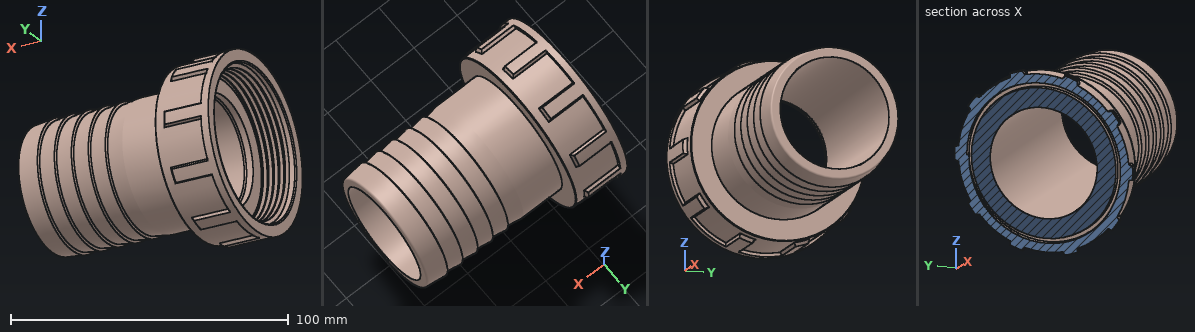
import cadquery as cq
import math

TOTAL_LENGTH = 84.5

NUT_LENGTH = 22.7
RIM_RADIUS = 34.7
RIM_WIDTH = 3.1
NUT_RADIUS = 33.4
NUT_EDGE_CHAMFER = 0.25
MOUTH_CHAMFER = 0.5
FLANGE_SEAT_X = 18.6

THREAD_PITCH = 2.3
THREAD_MAJOR_RADIUS = 29.8
THREAD_MINOR_RADIUS = 28.3
THREAD_HALF_ANGLE = math.radians(27.5)
THREAD_CREST_WIDTH = 0.3
THREAD_START_X = 2.5
THREAD_TURNS = 6
THREAD_ROOT_DEPTH = 0.2

RIB_COUNT = 10
RIB_TOP_WIDTH = 5.1
RIB_BASE_WIDTH = 6.0
RIB_TOP_END_X = 18.0
RIB_BASE_END_X = 18.9
RIB_ROOT_DEPTH = 0.85

GASKET_FACE_X = 12.9
GASKET_THICKNESS = 2.7
GASKET_RADIUS = 27.5
GASKET_BORE_RADIUS = 21.3

TUBE_RADIUS = 25.4
BORE_RADIUS = 20.7
BORE_CHAMFER = GASKET_BORE_RADIUS - BORE_RADIUS
FLANGE_X = GASKET_FACE_X + GASKET_THICKNESS
FLANGE_CLEARANCE = 0.1
FLANGE_RADIUS = THREAD_MINOR_RADIUS - FLANGE_CLEARANCE
BARB_START_X = 40.7
BARB_PITCH = 7.0
BARB_COUNT = 5
BARB_VALLEY_RADIUS = 24.4
BARB_STEP_LENGTH = 0.4
TIP_RADIUS = 24.4
TIP_FILLET = 0.85


def revolve_about_x(points):
    """Turn a closed (x, radius) outline about the X axis."""
    return cq.Workplane("XY").polyline(points).close().revolve(360, (0, 0, 0), (1, 0, 0))


def make_nut_blank():
    """Nut wall with its rim, chamfered mouth, bore and rear wall, before ribs and thread."""
    return revolve_about_x([
        (0, THREAD_MAJOR_RADIUS + MOUTH_CHAMFER),
        (0, RIM_RADIUS),
        (RIM_WIDTH, RIM_RADIUS),
        (RIM_WIDTH, NUT_RADIUS),
        (NUT_LENGTH - NUT_EDGE_CHAMFER, NUT_RADIUS),
        (NUT_LENGTH, NUT_RADIUS - NUT_EDGE_CHAMFER),
        (NUT_LENGTH, TUBE_RADIUS),
        (FLANGE_SEAT_X, TUBE_RADIUS),
        (FLANGE_SEAT_X, THREAD_MAJOR_RADIUS),
        (MOUTH_CHAMFER, THREAD_MAJOR_RADIUS),
    ])


def make_rib():
    """One grip rib on the -Y side, flush with the rim and sloped at its end."""
    root_radius = NUT_RADIUS - RIB_ROOT_DEPTH
    ring = revolve_about_x([
        (RIM_WIDTH, root_radius),
        (RIM_WIDTH, RIM_RADIUS),
        (RIB_TOP_END_X, RIM_RADIUS),
        (RIB_BASE_END_X, NUT_RADIUS),
        (RIB_BASE_END_X, root_radius),
    ])
    side_slope = (RIB_BASE_WIDTH - RIB_TOP_WIDTH) / 2 / (RIM_RADIUS - NUT_RADIUS)
    half_top = RIB_TOP_WIDTH / 2
    half_root = half_top + side_slope * (RIM_RADIUS - root_radius)
    wedge = (
        cq.Workplane("YZ")
        .polyline([
            (-root_radius, -half_root),
            (-RIM_RADIUS, -half_top),
            (-RIM_RADIUS, half_top),
            (-root_radius, half_root),
        ])
        .close()
        .extrude(NUT_LENGTH)
    )
    return ring.intersect(wedge)


def make_thread_ridge():
    """Right-hand helical ridge that starts on the +Y side and runs along +X."""
    root_radius = THREAD_MAJOR_RADIUS + THREAD_ROOT_DEPTH
    half_crest = THREAD_CREST_WIDTH / 2
    half_root = half_crest + (root_radius - THREAD_MINOR_RADIUS) * math.tan(THREAD_HALF_ANGLE)
    helix = cq.Wire.makeHelix(THREAD_PITCH, THREAD_PITCH * THREAD_TURNS, THREAD_MINOR_RADIUS)
    ridge = (
        cq.Workplane("XZ")
        .polyline([
            (root_radius, -half_root),
            (THREAD_MINOR_RADIUS, -half_crest),
            (THREAD_MINOR_RADIUS, half_crest),
            (root_radius, half_root),
        ])
        .close()
        .sweep(cq.Workplane(helix), isFrenet=True)
    )
    return ridge.rotate((0, 0, 0), (1, 1, 1), 120).translate((THREAD_START_X, 0, 0))


def make_nut():
    nut = make_nut_blank()
    rib = make_rib()
    for index in range(RIB_COUNT):
        nut = nut.union(rib.rotate((0, 0, 0), (1, 0, 0), index * 360 / RIB_COUNT))
    return nut.union(make_thread_ridge())


def make_gasket():
    return revolve_about_x([
        (GASKET_FACE_X, GASKET_BORE_RADIUS),
        (GASKET_FACE_X, GASKET_RADIUS),
        (FLANGE_X, GASKET_RADIUS),
        (FLANGE_X, GASKET_BORE_RADIUS),
    ])


def make_hose_tail():
    """Flanged tube with a barbed, rounded end."""
    outline = [
        (FLANGE_X + BORE_CHAMFER, BORE_RADIUS),
        (FLANGE_X, BORE_RADIUS + BORE_CHAMFER),
        (FLANGE_X, FLANGE_RADIUS),
        (FLANGE_SEAT_X, FLANGE_RADIUS),
        (FLANGE_SEAT_X, TUBE_RADIUS),
        (BARB_START_X, TUBE_RADIUS),
    ]
    for index in range(1, BARB_COUNT + 1):
        crest_x = BARB_START_X + index * BARB_PITCH
        outline.append((crest_x - BARB_STEP_LENGTH, BARB_VALLEY_RADIUS))
        outline.append((crest_x, TUBE_RADIUS))
    outline.append((TOTAL_LENGTH, TIP_RADIUS))
    outline.append((TOTAL_LENGTH, BORE_RADIUS))
    tip_edge = cq.selectors.RadiusNthSelector(-1)
    return revolve_about_x(outline).faces(">X").edges(tip_edge).fillet(TIP_FILLET)


nut = make_nut()
gasket = make_gasket()
hose_tail = make_hose_tail()

result = cq.Compound.makeCompound([
    nut.solids().val(),
    gasket.solids().val(),
    hose_tail.solids().val(),
])